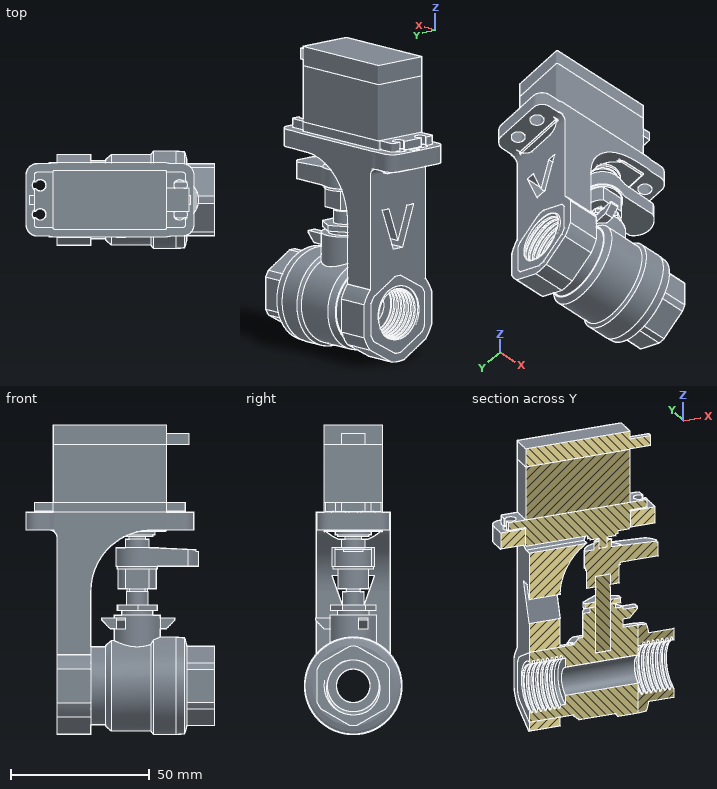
import cadquery as cq
import math


body_left = -28.9
cap_seam = 13.9
cap_right = 27.87
hex_apothem = 13.0
hex_corner_radius = 14.3
hex_left_length = 12.25
collar_radius = 14.1
shoulder_radius = 14.55
belly_radius = 16.35
shoulder_x = -11.4
belly_left = -9.3
belly_right = 4.9
rim_left = 5.9
rim_radius = 17.6
rim_right = 17.0
rim_right_radius = 17.35
rim_bevel_x = 17.4
rim_bevel_radius = 16.5
cap_face = 17.9
bore_diameter = 12.0
neck_radius = 8.35
neck_top = 25.5
gland_radius = 5.65
gland_top = 27.1

thread_major_radius = 20.95 / 2
thread_minor_radius = 18.63 / 2
thread_pitch = 1.814
thread_depth = 14.2
thread_turns = 8
thread_mouth = 1.3
thread_root = 0.3
thread_overlap = 0.3

lug_width = 3.25
lug_top = 24.5
lug_height = 4.0
lug_nose = 0.8
lug_taper = 3.1
left_lug_reach = 12.8
lug_offset = 3.6
right_lug_reach = 13.6
front_lug_offset = 5.75
front_lug_reach = 13.6

stem_diameter = 7.87
stem_bottom = 9.0
stem_shoulder = 33.95
stem_tip_diameter = 7.5
stem_tip_thickness = 5.0
stem_tip_top = 39.0
nut_apothem = 7.1
nut_height = 2.1
nut_turn = 2.0

shank_bottom = 34.95
shank_diameter = 13.9
shank_thickness = 11.1
lip_bottom = 42.1
lip_diameter = 14.5
boss_bottom = 43.0
boss_radius = 7.7
boss_top = 49.8
arm_half_width = 6.5
arm_side_start = 5.15
arm_tangent_angle = 74.2
arm_side_end = 18.3
arm_tip = 22.1
arm_drop = 0.75
tip_step_x = 21.2
tip_step_z = 48.4
collar_diameter = 8.6
collar_top = 52.8

servo_center_x = -9.82
servo_length = 40.9
servo_width = 21.2
servo_bottom = 55.5
servo_top = 93.95
servo_edge = 0.5
cover_bottom = 86.85
ear_length = 54.4
ear_width = 19.9
ear_thickness = 3.2
ear_corner = 1.0
ear_gap = 0.25
ear_hole_diameter = 4.0
ear_hole_x = 25.1
ear_slot_width = 2.2
screw_spacing_y = 10.5
plug_length = 8.1
plug_width = 8.4
plug_height = 4.05
shaft_diameter = 6.0
shaft_end = 49.8
output_steps = [(13.0, 54.4), (11.3, 53.75), (shaft_diameter, shaft_end)]

plate_length = 60.5
plate_end_width = 26.2
plate_corner = 4.2
plate_bottom = 56.1
plate_top = 62.6
column_width = 26.8
column_right = body_left + hex_left_length
waist_left = -29.9
waist_right = 10.2
waist_ramp = 1.7
foot_apothem = 16.4
foot_radius = 17.5
arch_radius = 22.0
column_fillet = 2.8
screw_hole_diameter = 5.0
screw_hole_x = 25.4
channel_radius = 14.5
channel_center_z = 66.35
channel_floor = 52.8
notch_length = 1.8
notch_width = 3.2
notch_depth = 1.0

ear_bottom = plate_top + ear_gap
ear_top = ear_bottom + ear_thickness

window_bottom = 24.5
window_top = 39.7
window_crotch = 27.3
window_top_outer = 7.64
window_top_inner = 4.34
window_foot = 2.25


def disc(diameter, z_low, z_high):
    """Upright cylinder on the stem axis."""
    return cq.Workplane("XY").workplane(offset=z_low).circle(diameter / 2).extrude(z_high - z_low)


def block(length, width, z_low, z_high, center_x=0.0, center_y=0.0):
    """Upright box between two heights."""
    plane = cq.Workplane("XY", origin=(center_x, center_y, z_low))
    return plane.rect(length, width).extrude(z_high - z_low)


def rounded_hexagon(apothem, corner_radius, x_low, x_high):
    """Bar along X: a hexagon with corners up and down, cut back to a round of corner_radius."""
    length = x_high - x_low
    plane = cq.Workplane("YZ", origin=(x_low, 0, 0))
    across_corners = 2 * apothem / math.cos(math.radians(30))
    hexagon = plane.transformed(rotate=(0, 0, 90)).polygon(6, across_corners).extrude(length)
    return hexagon.intersect(plane.circle(corner_radius).extrude(length))


def pipe_thread(x_face, inward):
    """Cutter for a threaded socket that opens at x_face and runs along X in direction inward."""
    direction = cq.Vector(inward, 0, 0)
    face = cq.Vector(x_face, 0, 0)
    socket = cq.Workplane(cq.Solid.makeCylinder(thread_minor_radius, thread_depth, face, direction))
    start = face - direction * (thread_pitch / 2)
    helix = cq.Wire.makeHelix(
        thread_pitch, thread_turns * thread_pitch, thread_minor_radius, start, direction
    )
    root = helix.startPoint()
    plane = cq.Plane(origin=root, xDir=root - start, normal=helix.tangentAt(0))
    depth = thread_major_radius - thread_minor_radius
    half_mouth = thread_mouth / 2
    half_root = thread_root / 2
    section = [
        (-thread_overlap, -half_mouth),
        (depth, -half_root),
        (depth, half_root),
        (-thread_overlap, half_mouth),
    ]
    groove = (
        cq.Workplane(plane)
        .polyline(section)
        .close()
        .sweep(cq.Workplane(helix), isFrenet=True)
        .rotate((0, 0, 0), (1, 0, 0), 180)
    )
    return socket, groove


def cut_socket(part, x_face, inward):
    """Cut the threaded socket and its helical groove."""
    socket, groove = pipe_thread(x_face, inward)
    return part.cut(socket).cut(groove)


def bore(x_low, x_high):
    """Flow passage along X."""
    return cq.Workplane("YZ", origin=(x_low, 0, 0)).circle(bore_diameter / 2).extrude(x_high - x_low)


def stop_lug(reach, offset, angle):
    """Lug that points along -X at Y = offset, turned about Z by angle; its underside tapers."""
    low = lug_top - lug_height
    outline = [
        (0, low),
        (lug_taper - reach, low),
        (-reach, lug_top - lug_nose),
        (-reach, lug_top),
        (0, lug_top),
    ]
    plane = cq.Workplane("XZ", origin=(0, offset + lug_width / 2, 0))
    return plane.polyline(outline).close().extrude(lug_width).rotate((0, 0, 0), (0, 0, 1), angle)


def make_valve_body():
    profile = [
        (column_right, 0),
        (column_right, collar_radius),
        (shoulder_x, collar_radius),
        (shoulder_x, shoulder_radius),
        (belly_left, belly_radius),
        (belly_right, belly_radius),
        (rim_left, rim_radius),
        (cap_seam, rim_radius),
        (cap_seam, 0),
    ]
    barrel = cq.Workplane("XY").polyline(profile).close().revolve(360, (0, 0, 0), (1, 0, 0))
    body = barrel.union(rounded_hexagon(hex_apothem, hex_corner_radius, body_left, column_right))
    body = body.union(disc(2 * neck_radius, stem_bottom, neck_top))
    body = body.union(stop_lug(left_lug_reach, -lug_offset, 0))
    body = body.union(stop_lug(right_lug_reach, -lug_offset, 180))
    body = body.union(stop_lug(front_lug_reach, front_lug_offset, 90))
    body = body.union(disc(2 * gland_radius, neck_top, gland_top))
    body = body.cut(bore(body_left, cap_seam))
    body = body.cut(disc(stem_diameter, stem_bottom, gland_top))
    return cut_socket(body, body_left, 1)


def make_end_cap():
    profile = [
        (cap_seam, 0),
        (cap_seam, rim_radius),
        (rim_right, rim_right_radius),
        (rim_bevel_x, rim_bevel_radius),
        (cap_face, shoulder_radius),
        (cap_face, 0),
    ]
    rim = cq.Workplane("XY").polyline(profile).close().revolve(360, (0, 0, 0), (1, 0, 0))
    cap = rim.union(rounded_hexagon(hex_apothem, hex_corner_radius, rim_right, cap_right))
    cap = cap.cut(bore(cap_seam, cap_right))
    return cut_socket(cap, cap_right, -1)


def stem_tip(z_low):
    """Round tip with two flats across Y."""
    flats = block(stem_tip_diameter, stem_tip_thickness, z_low, stem_tip_top)
    return disc(stem_tip_diameter, z_low, stem_tip_top).intersect(flats)


def make_stem():
    return disc(stem_diameter, stem_bottom, stem_shoulder).union(stem_tip(stem_shoulder))


def make_nut():
    across_corners = 2 * nut_apothem / math.cos(math.radians(30))
    plane = cq.Workplane("XY", origin=(0, 0, gland_top))
    nut = plane.transformed(rotate=(0, 0, 90 + nut_turn)).polygon(6, across_corners).extrude(nut_height)
    return nut.cut(disc(stem_diameter, gland_top, gland_top + nut_height))


def make_arm():
    """Lever with a rounded tip, a sloping top and a low step at the tip."""
    tangent_x = boss_radius * math.cos(math.radians(arm_tangent_angle))
    tangent_y = boss_radius * math.sin(math.radians(arm_tangent_angle))
    outline = (
        cq.Workplane("XY", origin=(0, 0, boss_bottom))
        .moveTo(tangent_x, -tangent_y)
        .lineTo(arm_side_start, -arm_half_width)
        .lineTo(arm_side_end, -arm_half_width)
        .threePointArc((arm_tip, 0), (arm_side_end, arm_half_width))
        .lineTo(arm_side_start, arm_half_width)
        .lineTo(tangent_x, tangent_y)
        .close()
        .extrude(boss_top - boss_bottom)
    )
    side = [
        (0, boss_bottom),
        (arm_tip, boss_bottom),
        (arm_tip, tip_step_z),
        (tip_step_x, tip_step_z),
        (tip_step_x, boss_top - arm_drop),
        (arm_side_start, boss_top),
        (0, boss_top),
    ]
    slope = cq.Workplane("XZ").polyline(side).close().extrude(boss_radius, both=True)
    return outline.intersect(slope)


def make_coupler():
    shank = disc(shank_diameter, shank_bottom, boss_bottom)
    shank = shank.intersect(block(shank_diameter, shank_thickness, shank_bottom, boss_bottom))
    lip = disc(lip_diameter, lip_bottom, boss_bottom)
    coupler = shank.union(lip).union(disc(2 * boss_radius, boss_bottom, boss_top))
    coupler = coupler.union(make_arm()).union(disc(collar_diameter, boss_top, collar_top))
    coupler = coupler.cut(stem_tip(shank_bottom))
    return coupler.cut(disc(shaft_diameter, shaft_end, collar_top))


def servo_block(z_low, z_high):
    case = block(servo_length, servo_width, z_low, z_high, servo_center_x)
    return case.edges("|Z").fillet(servo_edge)


def make_servo_base():
    """Lower part of the servo with the mounting ears and the stepped output shaft."""
    base = servo_block(servo_bottom, ear_top).faces("<Z").edges().chamfer(servo_edge)
    ears = block(ear_length, ear_width, ear_bottom, ear_top, servo_center_x)
    ears = ears.edges("|Z").fillet(ear_corner)
    for end in (-1, 1):
        for side in (-1, 1):
            hole_x = servo_center_x + end * ear_hole_x
            hole_y = side * screw_spacing_y / 2
            hole = cq.Workplane("XY", origin=(hole_x, hole_y, ear_bottom))
            ears = ears.cut(hole.circle(ear_hole_diameter / 2).extrude(ear_thickness))
            slot_length = ear_length / 2 - ear_hole_x
            slot_x = hole_x + end * slot_length / 2
            ears = ears.cut(block(slot_length, ear_slot_width, ear_bottom, ear_top, slot_x, hole_y))
    base = base.union(ears)
    step_top = servo_bottom
    for diameter, step_bottom in output_steps:
        base = base.union(disc(diameter, step_bottom, step_top))
        step_top = step_bottom
    return base


def make_servo_case():
    return servo_block(ear_top, cover_bottom)


def make_servo_cover():
    cover = servo_block(cover_bottom, servo_top)
    plug_right = servo_center_x + servo_length / 2 + plug_length
    plug_run = plug_right - servo_center_x
    plug_x = servo_center_x + plug_run / 2
    plug = block(plug_run, plug_width, cover_bottom, cover_bottom + plug_height, plug_x)
    return cover.union(plug)


def make_plate():
    height = plate_top - plate_bottom
    plate = block(plate_length, plate_end_width, plate_bottom, plate_top, servo_center_x)
    plate = plate.edges("|Z").fillet(plate_corner)
    half = column_width / 2
    end_half = plate_end_width / 2
    waist = [
        (waist_left - waist_ramp, -end_half),
        (waist_left, -half),
        (waist_right, -half),
        (waist_right + waist_ramp, -end_half),
        (waist_right + waist_ramp, end_half),
        (waist_right, half),
        (waist_left, half),
        (waist_left - waist_ramp, end_half),
    ]
    plane = cq.Workplane("XY", origin=(0, 0, plate_bottom))
    return plate.union(plane.polyline(waist).close().extrude(height))


def make_column():
    """Upright with a small fillet under the plate on the left and a large arch on the right."""
    half = column_width / 2
    arch_x = column_right + arch_radius
    arch_z = plate_bottom - arch_radius
    diagonal = arch_radius * math.sqrt(0.5)
    fillet_x = body_left - column_fillet
    fillet_z = plate_bottom - column_fillet
    fillet_diagonal = column_fillet * math.sqrt(0.5)
    side = (
        cq.Workplane("XZ")
        .moveTo(body_left, 0)
        .lineTo(column_right, 0)
        .lineTo(column_right, arch_z)
        .threePointArc((arch_x - diagonal, arch_z + diagonal), (arch_x, plate_bottom))
        .lineTo(fillet_x, plate_bottom)
        .threePointArc((fillet_x + fillet_diagonal, fillet_z + fillet_diagonal), (body_left, fillet_z))
        .close()
    )
    return side.extrude(half, both=True)


def make_window():
    outline = [
        (-window_foot, window_bottom),
        (window_foot, window_bottom),
        (window_top_outer, window_top),
        (window_top_inner, window_top),
        (0, window_crotch),
        (-window_top_inner, window_top),
        (-window_top_outer, window_top),
    ]
    plane = cq.Workplane("YZ", origin=(body_left, 0, 0))
    return plane.polyline(outline).close().extrude(hex_left_length + arch_radius)


def make_channel():
    """Rounded trough along X below the servo, with a flat floor."""
    trough_left = servo_center_x - servo_length / 2 - column_fillet
    trough_length = servo_length + column_fillet
    plane = cq.Workplane("YZ", origin=(trough_left, 0, channel_center_z))
    trough = plane.circle(channel_radius).extrude(trough_length)
    keep = block(2 * servo_length, 2 * channel_radius, channel_floor, plate_bottom, servo_center_x)
    return trough.intersect(keep)


def make_bracket():
    bracket = make_plate().union(make_column())
    bracket = bracket.union(rounded_hexagon(foot_apothem, foot_radius, body_left, column_right))
    bracket = bracket.cut(make_channel()).cut(make_window())
    bracket = bracket.cut(servo_block(servo_bottom, plate_top))
    bracket = bracket.cut(rounded_hexagon(hex_apothem, hex_corner_radius, body_left, column_right))
    for end in (-1, 1):
        for side in (-1, 1):
            hole_center = (servo_center_x + end * screw_hole_x, side * screw_spacing_y / 2, plate_bottom)
            hole = cq.Workplane("XY", origin=hole_center).circle(screw_hole_diameter / 2)
            bracket = bracket.cut(hole.extrude(plate_top - plate_bottom))
        notch_x = servo_center_x + end * (ear_length + notch_length) / 2
        notch = block(notch_length, notch_width, plate_top - notch_depth, plate_top, notch_x)
        bracket = bracket.cut(notch)
    return bracket


bracket = make_bracket()
servo_base = make_servo_base()
servo_case = make_servo_case()
servo_cover = make_servo_cover()
coupler = make_coupler()
stem = make_stem()
nut = make_nut()
valve_body = make_valve_body()
end_cap = make_end_cap()

bodies = [bracket, servo_base, servo_case, servo_cover, coupler, stem, nut, valve_body, end_cap]
result = cq.Compound.makeCompound([body.solids().val() for body in bodies])